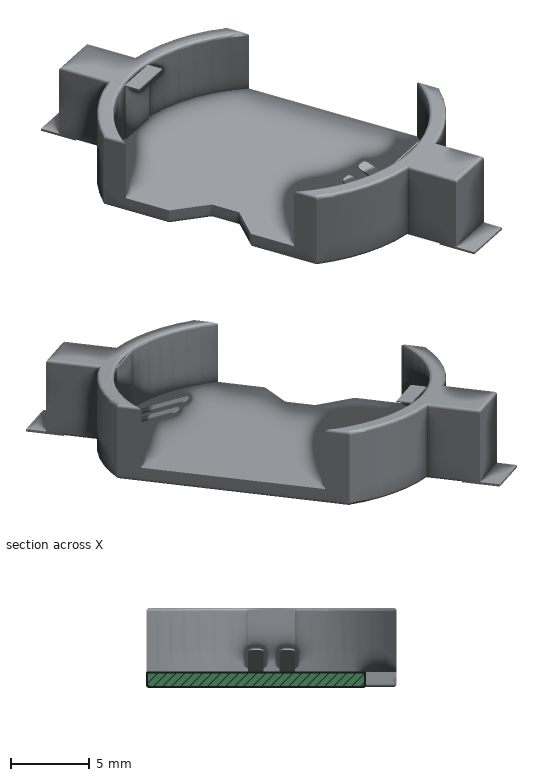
import cadquery as cq
import math

overall_length = 31.85
body_width = 16.0
body_height = 5.05
outer_radius = 11.18
inner_radius = 10.1
floor_thickness = 0.95
edge_radius = 0.2

arm_length = 29.18
arm_width = 3.6

notch_depth = 2.0
notch_inner_width = 2.0
notch_outer_width = notch_inner_width + 2 * notch_depth

foot_thickness = 0.15
foot_inner_x = 13.38
contact_width = 3.0
left_plate_back_x = -9.95
right_plate_back_x = 10.0
plate_thickness = 0.1
plate_top_z = 4.95

tab_tip_x = -8.9

finger_width = 1.0
finger_thickness = 0.1
finger_tip_radius = 0.32
finger_root_x = 9.75
finger_tip_x = 6.0
finger_rise = 1.5
finger_run = finger_root_x - finger_tip_x
finger_length = math.hypot(finger_run, finger_rise)
finger_slope = math.degrees(math.atan2(finger_rise, finger_run))
finger_offset = (contact_width - finger_width) / 2


def box_between(x_start, x_end, width, z_start, z_end):
    """Box centred on the X axis in plan, between two X and two Z limits."""
    length = abs(x_end - x_start)
    return (
        cq.Workplane("XY")
        .box(length, width, z_end - z_start, centered=(False, True, False))
        .translate((min(x_start, x_end), 0, z_start))
    )


def make_body():
    """Cup with arms, notch and round cavity, with rounded top and bottom edges."""
    half_width = body_width / 2
    flats = cq.Workplane("XY").box(overall_length, body_width, body_height, centered=(True, True, False))
    body = cq.Workplane("XY").circle(outer_radius).extrude(body_height).intersect(flats)
    body = body.union(box_between(-arm_length / 2, arm_length / 2, arm_width, 0, body_height))

    notch = (
        cq.Workplane("XY")
        .moveTo(-notch_outer_width / 2, -half_width)
        .lineTo(-notch_inner_width / 2, -half_width + notch_depth)
        .lineTo(notch_inner_width / 2, -half_width + notch_depth)
        .lineTo(notch_outer_width / 2, -half_width)
        .close()
        .extrude(body_height)
    )
    cavity = (
        cq.Workplane("XY")
        .workplane(offset=floor_thickness)
        .circle(inner_radius)
        .extrude(body_height)
    )
    body = body.cut(notch).cut(cavity)
    return body.faces(">Z or <Z").edges().fillet(edge_radius)


def make_finger(center_y):
    """Sloping spring finger with a rounded tip, its root sunk in the floor."""
    return (
        cq.Workplane("XY")
        .box(finger_length, finger_width, finger_thickness, centered=(False, True, False))
        .edges("|Z and >X")
        .fillet(finger_tip_radius)
        .translate((0, 0, -finger_thickness))
        .rotate((0, 0, 0), (0, 1, 0), -finger_slope)
        .rotate((0, 0, 0), (0, 0, 1), 180)
        .translate((finger_root_x, center_y, floor_thickness))
    )


def make_foot(side):
    """Solder foot under one arm; side is -1 for left and 1 for right."""
    return box_between(
        side * foot_inner_x, side * overall_length / 2, arm_width, 0, foot_thickness
    )


def make_plate(back_x, face_x):
    """Upright contact plate standing on the floor against the wall."""
    return box_between(back_x, face_x, contact_width, floor_thickness, plate_top_z)


def make_left_contact():
    """Plate with a horizontal tab bent inward at its top."""
    plate = make_plate(left_plate_back_x, left_plate_back_x + plate_thickness)
    tab = box_between(
        left_plate_back_x, tab_tip_x, contact_width, plate_top_z - plate_thickness, plate_top_z
    )
    return plate.union(tab)


def make_right_contact():
    """Plate with a pair of spring fingers in front of it."""
    contact = make_plate(right_plate_back_x, right_plate_back_x - plate_thickness)
    for side in (-1, 1):
        contact = contact.union(make_finger(side * finger_offset))
    return contact


result = make_body()
for side in (-1, 1):
    result = result.union(make_foot(side))
result = result.union(make_left_contact()).union(make_right_contact())